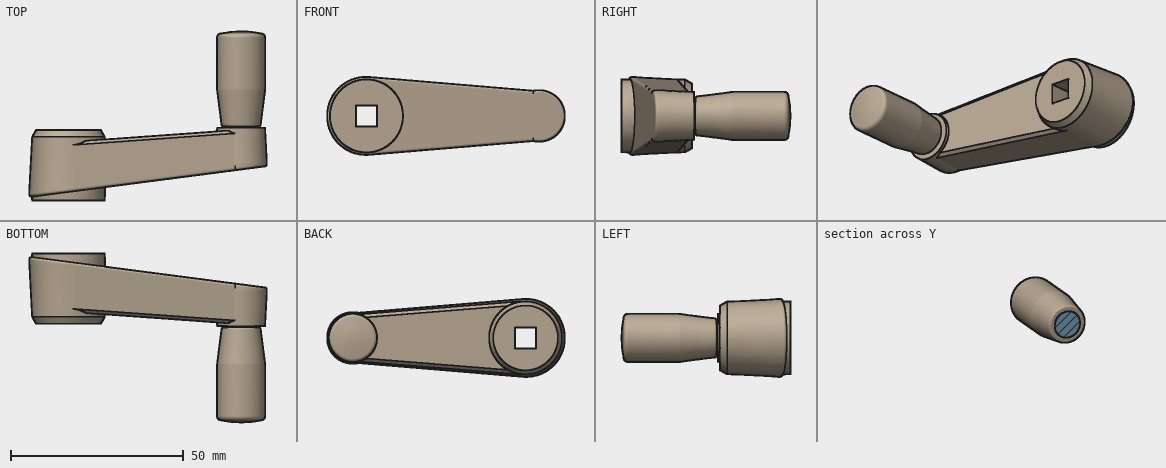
import cadquery as cq
import math

draft = math.tan(math.radians(3.0))

hub_height = 20.5
hub_rim_height = 2.1
hub_rim_y = hub_height - hub_rim_height
hub_rim_radius = 10.55
hub_top_radius = 9.4
hub_root_radius = hub_rim_radius + hub_rim_y * draft
pad_edge_radius = 10.6
pad_face_radius = 10.55
pad_edge_y = 2.1
pad_top_y = 5.5
square_size = 6.0

boss_x = 50.0
boss_top_y = 21.1
boss_skirt_y = 10.9
boss_top_radius = 6.95
boss_skirt_radius = boss_top_radius + (boss_top_y - boss_skirt_y) * draft

arm_end_x = 48.25
arm_side_angle = math.radians(4.4)
arm_side_inset = 0.015
arm_underside_y = 2.5
arm_underside_angle = math.radians(7.4)
arm_top_y = 16.95
arm_top_angle = math.radians(4.1)
arm_chamfer = 0.95
underside_fillet = 0.75

neck_diameter = 8.0
grip_diameter = 14.0
grip_radius = grip_diameter / 2
grip_base_y = 21.45
grip_base_radius = 5.7
grip_base_fillet = 0.7
grip_cone_top_y = 32.1
grip_end_y = 49.0
grip_dome_height = 0.6
grip_edge_fillet = 1.25
grip_shoulder_y = grip_end_y - grip_dome_height - grip_edge_fillet
grip_dome_radius = grip_radius - grip_edge_fillet

reach_x = 103.4
reach_y = 41.35


def turned(points, axis_x=0):
    """Revolve a closed (radius, y) outline about an axis parallel to Y."""
    body = cq.Workplane("XY").polyline(points).close()
    return body.revolve(360, (0, 0, 0), (0, 1, 0)).translate((axis_x, 0, 0))


def beyond_slope(y_at_hub, angle, side):
    """Block above (side=1) or below (side=-1) a plane sloping along X."""
    rise = reach_x * math.tan(angle)
    points = [
        (-reach_x, y_at_hub - rise),
        (reach_x, y_at_hub + rise),
        (reach_x, y_at_hub + rise + side * reach_y),
        (-reach_x, y_at_hub - rise + side * reach_y),
    ]
    return cq.Workplane("XY").polyline(points).close().extrude(reach_y, both=True)


def make_hub():
    return turned([
        (0, 0),
        (hub_root_radius, 0),
        (hub_rim_radius, hub_rim_y),
        (hub_top_radius, hub_height),
        (0, hub_height),
    ])


def make_boss():
    return turned([
        (0, 0),
        (boss_skirt_radius, 0),
        (boss_skirt_radius, boss_skirt_y),
        (boss_top_radius, boss_top_y),
        (0, boss_top_y),
    ], boss_x)


def arm_outline(y):
    """Corners of the arm section at height y, its sides just inside the hub cone's tangents."""
    hub_radius = hub_root_radius - y * draft - arm_side_inset
    start_x = hub_radius * math.sin(arm_side_angle)
    start_z = hub_radius * math.cos(arm_side_angle)
    end_z = start_z - (arm_end_x - start_x) * math.tan(arm_side_angle)
    return [
        (start_x, -start_z),
        (arm_end_x, -end_z),
        (arm_end_x, end_z),
        (start_x, start_z),
    ]


def make_arm():
    arm = cq.Workplane("XZ").polyline(arm_outline(0)).close()
    arm = arm.workplane(offset=-reach_y).polyline(arm_outline(reach_y)).close().loft(ruled=True)
    arm = arm.cut(beyond_slope(arm_top_y, arm_top_angle, 1))
    long_edges = arm.faces(">Y").edges(">Z or <Z")
    return long_edges.chamfer(arm_chamfer)


def make_pad():
    return turned([
        (0, 0),
        (pad_face_radius, 0),
        (pad_edge_radius, pad_edge_y),
        (pad_edge_radius, pad_top_y),
        (0, pad_top_y),
    ])


def make_grip():
    diagonal = math.sqrt(0.5)
    edge_mid = (
        grip_dome_radius + grip_edge_fillet * diagonal,
        grip_shoulder_y + grip_edge_fillet * diagonal,
    )
    sphere = (grip_dome_radius**2 + grip_dome_height**2) / (2 * grip_dome_height)
    half_angle = math.asin(grip_dome_radius / sphere) / 2
    dome_mid = (
        sphere * math.sin(half_angle),
        grip_end_y - sphere * (1 - math.cos(half_angle)),
    )
    outline = (
        cq.Workplane("XY")
        .moveTo(0, grip_base_y)
        .lineTo(grip_base_radius - grip_base_fillet, grip_base_y)
        .radiusArc((grip_base_radius, grip_base_y + grip_base_fillet), -grip_base_fillet)
        .lineTo(grip_radius, grip_cone_top_y)
        .lineTo(grip_radius, grip_shoulder_y)
        .threePointArc(edge_mid, (grip_dome_radius, grip_shoulder_y + grip_edge_fillet))
        .threePointArc(dome_mid, (0, grip_end_y))
        .close()
    )
    grip = outline.revolve(360, (0, 0, 0), (0, 1, 0))
    neck = turned([
        (0, boss_skirt_y),
        (neck_diameter / 2, boss_skirt_y),
        (neck_diameter / 2, grip_base_y),
        (0, grip_base_y),
    ])
    return grip.union(neck).translate((boss_x, 0, 0))


def trim_underside(body, rim_selector=None):
    """Cut a body off at the sloping underside and round its rim."""
    body = body.cut(beyond_slope(arm_underside_y, arm_underside_angle, -1))
    normal = cq.Vector(math.sin(arm_underside_angle), -math.cos(arm_underside_angle), 0)
    underside = body.faces(cq.selectors.DirectionMinMaxSelector(normal, True))
    return underside.edges(rim_selector).fillet(underside_fillet)


hub = trim_underside(make_hub())
boss = trim_underside(make_boss())
arm = trim_underside(make_arm(), ">Z or <Z")
casting = hub.union(arm).union(boss)

square_hole = cq.Workplane("XY").box(square_size, 2 * reach_y, square_size)

result = casting.union(make_pad()).union(make_grip()).cut(square_hole)